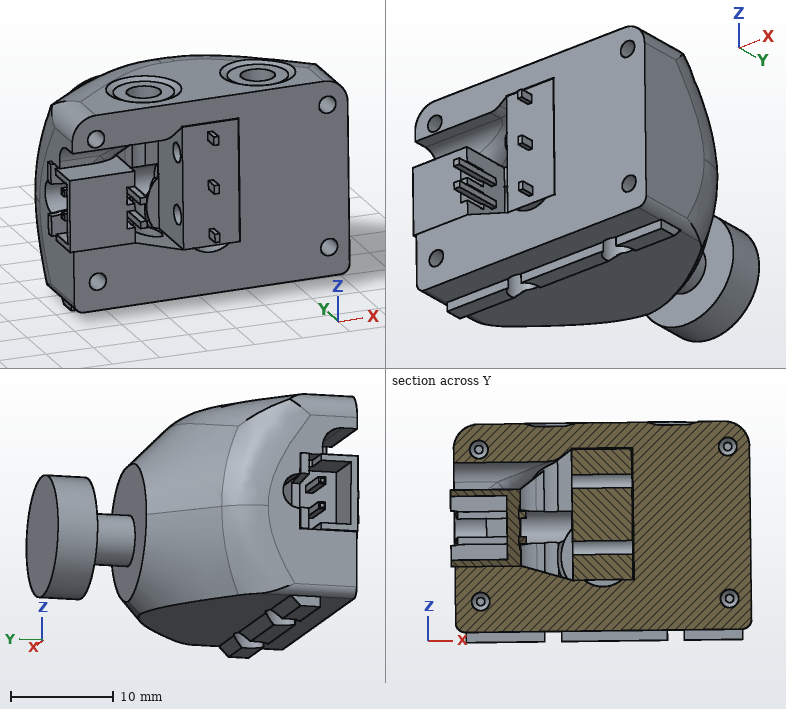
import cadquery as cq
import math

ROLL_ANGLE = -0.7

BODY_WIDTH = 29.0
BODY_TOP = 13.15
BODY_BOTTOM = -7.25
BODY_DEPTH = 19.27
TOP_CORNER_R = 2.5
BOTTOM_CORNER_R = 1.0
BODY_LEFT = -BODY_WIDTH / 2
BODY_RIGHT = BODY_WIDTH / 2

DOME_BACK_HALF_WIDTH = 6.75
DOME_WIDEST_Z = 1.4
DOME_UPPER_R = 6.08
DOME_LOWER_R = 7.5
DOME_TAPER = -45
DOME_BLEND_R = 6.0
DOME_REACH = 25.0
DOME_SLAB_REACH = 17.0

PILOT_LEFT = BODY_LEFT + TOP_CORNER_R
PILOT_TOP = BODY_TOP - TOP_CORNER_R
PILOT_SPACING_X = 24.36
PILOT_SPACING_Z = 14.88
PILOT_R = 0.88
PILOT_END_R = 0.4
PILOT_DEPTH = 5.0

CLAMP_HOLES_X = (-5.0, 7.0)
CLAMP_HOLE_Y = 4.94
CLAMP_HOLE_R = 1.7
SEAT_OUTER_R = 3.7
SEAT_INNER_R = 3.0
SEAT_DEPTH = 0.3

HOOK_SPANS = ((-13.47, 7.7), (-4.13, 10.38), (7.87, 5.74))
HOOK_FRONT = 3.42
HOOK_DROP = 1.0
HOOK_FLAT = 2.0

SWITCH_WIDTH = 5.9
SWITCH_DEPTH = 6.5
SWITCH_HEIGHT = 12.82
SWITCH_CENTER_Z = 4.16
SWITCH_HOLE_R = 1.0
SWITCH_HOLE_SPACING = 6.5
SWITCH_HOLE_Y = 1.5
SWITCH_GAP = 0.07
TERMINAL_PITCH = 5.08
TERMINAL_WIDTH = 0.5
TERMINAL_HEIGHT = 0.87
TERMINAL_LENGTH = 1.58
SWITCH_LEFT = -SWITCH_WIDTH / 2
SWITCH_TOP = SWITCH_CENTER_Z + SWITCH_HEIGHT / 2
SWITCH_BOTTOM = SWITCH_CENTER_Z - SWITCH_HEIGHT / 2

SHELL_LEFT = -14.85
SHELL_LENGTH = 6.85
SHELL_DEPTH = 5.8
SHELL_HEIGHT = 7.5
SHELL_CENTER_Z = 2.98
SHELL_FRONT_WALL = 0.72
SHELL_BACK_WALL = 0.83
SHELL_SIDE_WALL = 0.64
SOCKET_DEPTH = 5.5
SIDE_NOTCH_WIDTH = 1.24
SLOT_DEPTH = 3.5
SLOT_MOUTH = 3.4
SLOT_END = 2.75
RELIEF_WIDTH = 1.8
RELIEF_LENGTH = 0.82
RELIEF_DEPTH = 2.5
SHELL_RIGHT = SHELL_LEFT + SHELL_LENGTH
SHELL_TOP = SHELL_CENTER_Z + SHELL_HEIGHT / 2
SHELL_BOTTOM = SHELL_CENTER_Z - SHELL_HEIGHT / 2

PIN_PITCH = 2.5
PIN_SIZE = 0.7
PIN_TIP_X = -14.32
PIN_TIP_CHAMFER = 0.15
PIN_LEG_RIGHT = -7.47
PIN_CENTER_Y = 3.47
PIN_DROP = 1.86

WIRE_RECESS_TOP = 9.5
WIRE_RECESS_DEPTH = 3.52
WIRE_RECESS_R = 2.0
WIRE_HOLE_R = 1.7
WIRE_HOLE_END = -3.0
FLOOR_STEP_R = 2.0
SLANT_EDGE_R = 1.95
SLANT_OVERLENGTH = 5.0

SHAFT_R = 2.5
BORE_MOUTH_R = 2.9
CHAMBER_R = 4.08
CHAMBER_CHAMFER = 0.4
CHAMBER_END = 9.0
FLANGE_FRONT = 7.0
SHAFT_EXPOSED = 4.74
KNOB_R = 6.0
KNOB_THICKNESS = 4.0


def box(x_min, x_max, y_min, y_max, z_min, z_max):
    size = (x_max - x_min, y_max - y_min, z_max - z_min)
    return cq.Workplane("XY").box(*size, centered=False).translate((x_min, y_min, z_min))


def cylinder_y(radius, y_min, y_max, x=0, z=0):
    axis = cq.Vector(0, 1, 0)
    return cq.Workplane(cq.Solid.makeCylinder(radius, y_max - y_min, cq.Vector(x, y_min, z), axis))


def cylinder_x(radius, x_min, x_max, y, z):
    axis = cq.Vector(1, 0, 0)
    return cq.Workplane(cq.Solid.makeCylinder(radius, x_max - x_min, cq.Vector(x_min, y, z), axis))


def dome_taper():
    side = DOME_BACK_HALF_WIDTH
    flat = side - DOME_UPPER_R
    lower_center_offset = DOME_LOWER_R - side
    bottom = -math.sqrt(DOME_LOWER_R ** 2 - lower_center_offset ** 2)
    back = (
        cq.Workplane("XZ", origin=(0, BODY_DEPTH, DOME_WIDEST_Z))
        .moveTo(-flat, DOME_UPPER_R)
        .lineTo(flat, DOME_UPPER_R)
        .radiusArc((side, 0), DOME_UPPER_R)
        .radiusArc((0, bottom), DOME_LOWER_R)
        .radiusArc((-side, 0), DOME_LOWER_R)
        .radiusArc((-flat, DOME_UPPER_R), DOME_UPPER_R)
        .close()
    )
    return back.extrude(DOME_REACH, taper=DOME_TAPER)


def blended_dome(half_width, top, blended_sides):
    dome = box(-half_width, half_width, 0, BODY_DEPTH, -DOME_SLAB_REACH, top)
    dome = dome.intersect(dome_taper())
    for side in blended_sides:
        dome = dome.faces(side).edges(">Y").fillet(DOME_BLEND_R)
    return dome


def domed_block():
    top_blend = blended_dome(DOME_SLAB_REACH, BODY_TOP, [">Z"])
    side_blend = blended_dome(BODY_WIDTH / 2, DOME_SLAB_REACH, ["<X", ">X"])
    profile = box(BODY_LEFT, BODY_RIGHT, 0, BODY_DEPTH, BODY_BOTTOM, BODY_TOP)
    profile = profile.edges("|Y and >Z").fillet(TOP_CORNER_R)
    profile = profile.edges("|Y and <Z").fillet(BOTTOM_CORNER_R)
    return profile.intersect(side_blend).intersect(top_blend)


def hook(left, width):
    tip = BODY_BOTTOM - HOOK_DROP
    flat_end = HOOK_FRONT + HOOK_FLAT
    outline = [
        (HOOK_FRONT, BODY_BOTTOM + BOTTOM_CORNER_R),
        (HOOK_FRONT, tip),
        (flat_end, tip),
        (flat_end + HOOK_DROP, BODY_BOTTOM),
        (flat_end + HOOK_DROP, BODY_BOTTOM + BOTTOM_CORNER_R),
    ]
    return cq.Workplane("YZ").workplane(offset=left).polyline(outline).close().extrude(width)


def pilot_hole(x, z):
    hole = cylinder_y(PILOT_R, 0, PILOT_DEPTH, x, z)
    return hole.faces(">Y").chamfer(PILOT_R - PILOT_END_R)


def clamp_hole(x):
    center = cq.Workplane("XY", origin=(x, CLAMP_HOLE_Y, BODY_BOTTOM - HOOK_DROP))
    hole = center.circle(CLAMP_HOLE_R).extrude(BODY_TOP - BODY_BOTTOM + HOOK_DROP)
    seat = cq.Workplane(cq.Solid.makeCone(
        SEAT_INNER_R, SEAT_OUTER_R, SEAT_DEPTH,
        cq.Vector(x, CLAMP_HOLE_Y, BODY_TOP - SEAT_DEPTH), cq.Vector(0, 0, 1)))
    return hole.union(seat)


def wiring_cavity():
    slant = (SWITCH_TOP - SHELL_TOP) / (SWITCH_LEFT - SHELL_RIGHT)
    slant_start_x = SHELL_RIGHT - SLANT_OVERLENGTH
    outline = [
        (slant_start_x, SHELL_BOTTOM),
        (SHELL_RIGHT, SHELL_BOTTOM),
        (SWITCH_LEFT, SWITCH_BOTTOM),
        (SWITCH_LEFT, SWITCH_TOP),
        (slant_start_x, SHELL_TOP - slant * SLANT_OVERLENGTH),
    ]
    taper = cq.Workplane("XZ").polyline(outline).close().extrude(-SWITCH_DEPTH)
    recess = box(SHELL_LEFT, SWITCH_LEFT, 0, WIRE_RECESS_DEPTH, SHELL_BOTTOM, WIRE_RECESS_TOP)
    recess = recess.edges(">Z and >Y").fillet(WIRE_RECESS_R)
    cavity = taper.union(recess).edges("%ELLIPSE").fillet(SLANT_EDGE_R)
    step = SWITCH_DEPTH - SHELL_DEPTH
    roll_length = math.sqrt(FLOOR_STEP_R ** 2 - (FLOOR_STEP_R - step) ** 2)
    floor_step = (
        cq.Workplane("XY", origin=(0, 0, SWITCH_BOTTOM))
        .moveTo(slant_start_x, SHELL_DEPTH)
        .lineTo(SHELL_RIGHT, SHELL_DEPTH)
        .radiusArc((SHELL_RIGHT + roll_length, SWITCH_DEPTH), FLOOR_STEP_R)
        .lineTo(slant_start_x, SWITCH_DEPTH)
        .close()
        .extrude(SWITCH_HEIGHT)
    )
    return cavity.cut(floor_step)


def switch_pocket():
    return box(SWITCH_LEFT, SWITCH_LEFT + SWITCH_WIDTH + SWITCH_GAP, 0, SWITCH_DEPTH,
               SWITCH_BOTTOM, SWITCH_TOP + SWITCH_GAP)


def button_bore():
    bore = cylinder_y(SHAFT_R, 0, BODY_DEPTH)
    mouth = cylinder_y(BORE_MOUTH_R, 0, SWITCH_DEPTH)
    chamber = cylinder_y(CHAMBER_R, SWITCH_DEPTH, CHAMBER_END)
    chamber_mouth = cq.Workplane(cq.Solid.makeCone(
        CHAMBER_R + CHAMBER_CHAMFER, CHAMBER_R, CHAMBER_CHAMFER,
        cq.Vector(0, SWITCH_DEPTH, 0), cq.Vector(0, 1, 0)))
    return bore.union(mouth).union(chamber).union(chamber_mouth)


def build_housing():
    housing = domed_block()
    for left, width in HOOK_SPANS:
        housing = housing.union(hook(left, width))
    for x in (PILOT_LEFT, PILOT_LEFT + PILOT_SPACING_X):
        for z in (PILOT_TOP, PILOT_TOP - PILOT_SPACING_Z):
            housing = housing.cut(pilot_hole(x, z))
    for x in CLAMP_HOLES_X:
        housing = housing.cut(clamp_hole(x))
    shell_pocket = box(SHELL_LEFT, SHELL_RIGHT, 0, SHELL_DEPTH, SHELL_BOTTOM, SHELL_TOP)
    wire_hole = cylinder_x(WIRE_HOLE_R, BODY_LEFT, WIRE_HOLE_END, SHELL_DEPTH, SHELL_CENTER_Z)
    for pocket in (shell_pocket, wiring_cavity(), switch_pocket(),
                   wire_hole, button_bore()):
        housing = housing.cut(pocket)
    return housing


def build_shaft():
    stem = cylinder_y(SHAFT_R, FLANGE_FRONT, BODY_DEPTH + SHAFT_EXPOSED)
    flange = cylinder_y(CHAMBER_R, FLANGE_FRONT, CHAMBER_END)
    return stem.union(flange)


def build_knob():
    underside = BODY_DEPTH + SHAFT_EXPOSED
    return cylinder_y(KNOB_R, underside, underside + KNOB_THICKNESS)


def build_switch():
    switch = box(SWITCH_LEFT, -SWITCH_LEFT, 0, SWITCH_DEPTH, SWITCH_BOTTOM, SWITCH_TOP)
    for side in (-1, 1):
        z = SWITCH_CENTER_Z + side * SWITCH_HOLE_SPACING / 2
        switch = switch.cut(cylinder_x(SWITCH_HOLE_R, SWITCH_LEFT, -SWITCH_LEFT, SWITCH_HOLE_Y, z))
    return switch


def build_terminal(z):
    return box(-TERMINAL_WIDTH / 2, TERMINAL_WIDTH / 2, -TERMINAL_LENGTH, 0,
               z - TERMINAL_HEIGHT / 2, z + TERMINAL_HEIGHT / 2)


def build_pin(z):
    half = PIN_SIZE / 2
    top = PIN_CENTER_Y + half
    arm = box(PIN_TIP_X, PIN_LEG_RIGHT, PIN_CENTER_Y - half, top, z - half, z + half)
    arm = arm.faces("<X").chamfer(PIN_TIP_CHAMFER)
    leg = box(PIN_LEG_RIGHT - PIN_SIZE, PIN_LEG_RIGHT, -PIN_DROP, top, z - half, z + half)
    return arm.union(leg)


def pin_relief(z):
    outline = [(SHELL_RIGHT - RELIEF_LENGTH, 0), (SHELL_RIGHT, 0), (SHELL_RIGHT, RELIEF_DEPTH)]
    wedge = cq.Workplane("XY").polyline(outline).close().extrude(RELIEF_WIDTH)
    return wedge.translate((0, 0, z - RELIEF_WIDTH / 2))


def build_shell(pins, pin_heights):
    shell = box(SHELL_LEFT, SHELL_RIGHT, 0, SHELL_DEPTH, SHELL_BOTTOM, SHELL_TOP)
    socket_back = SHELL_DEPTH - SHELL_BACK_WALL
    shell = shell.cut(box(SHELL_LEFT, SHELL_LEFT + SOCKET_DEPTH, SHELL_FRONT_WALL, socket_back,
                          SHELL_BOTTOM + SHELL_SIDE_WALL, SHELL_TOP - SHELL_SIDE_WALL))
    shell = shell.cut(box(SHELL_LEFT, SHELL_LEFT + SLOT_DEPTH, socket_back - SIDE_NOTCH_WIDTH,
                          socket_back, SHELL_BOTTOM, SHELL_TOP))
    slot = (
        cq.Workplane("XZ", origin=(SHELL_LEFT, socket_back, SHELL_CENTER_Z))
        .polyline([(0, -SLOT_MOUTH / 2), (SLOT_DEPTH, -SLOT_END / 2),
                   (SLOT_DEPTH, SLOT_END / 2), (0, SLOT_MOUTH / 2)])
        .close()
        .extrude(-SHELL_BACK_WALL)
    )
    shell = shell.cut(slot)
    for pin, z in zip(pins, pin_heights):
        shell = shell.cut(pin_relief(z)).cut(pin)
    return shell


pin_heights = [SHELL_CENTER_Z + side * PIN_PITCH / 2 for side in (-1, 1)]
terminal_heights = [SWITCH_CENTER_Z + step * TERMINAL_PITCH for step in (-1, 0, 1)]

housing = build_housing()
shaft = build_shaft()
knob = build_knob()
switch = build_switch()
terminals = [build_terminal(z) for z in terminal_heights]
pins = [build_pin(z) for z in pin_heights]
shell = build_shell(pins, pin_heights)

bodies = [housing, shaft, knob, switch, *terminals, shell, *pins]
rolled = [body.rotate((0, 0, 0), (0, 1, 0), ROLL_ANGLE) for body in bodies]
result = cq.Compound.makeCompound([body.val() for body in rolled])